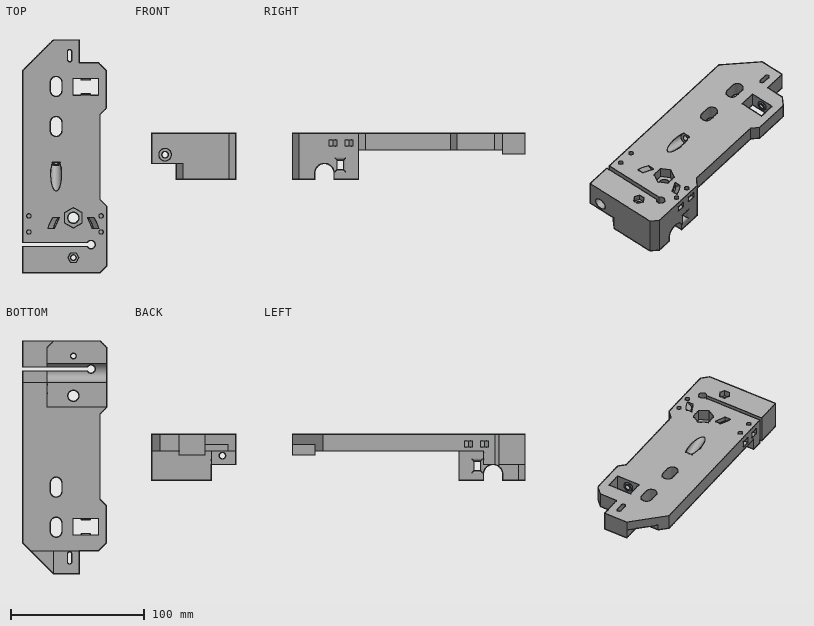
import cadquery as cq
import math

LENGTH = 174.0
WIDTH = 63.0
HEIGHT = 34.5

PLATE_THICKNESS = 12.5
REAR_SLOPE = 23.0
TAB_RIGHT = 42.5
TAB_LENGTH = 17.0
SHOULDER_CHAMFER = 6.0
REAR_RIGHT = 62.6
WAIST_STEP = 5.0
WAIST_FRONT = 54.6
WAIST_REAR = 118.3
CORNER_CHAMFER = 5.0

BRIDGE_THICKNESS = 22.6
BRIDGE_REAR = 31.1
BLOCK_LEFT = 18.3
BLOCK_REAR = 49.6
ARCH_FRONT = 16.9
ARCH_RADIUS = (BRIDGE_REAR - ARCH_FRONT) / 2

FOOT_TOP_DEPTH = 7.8
FOOT_BOTTOM_DEPTH = 15.7

SLIT_Y = 21.0
SLIT_WIDTH = 2.8
SLIT_END_X = 51.2
SLIT_END_DIAMETER = 6.1

CLAMP_X = 10.1
CLAMP_Z = 18.5
CLAMP_DIAMETER = 4.7
CLAMP_HEAD_DIAMETER = 9.4
CLAMP_HEAD_DEPTH = 10.0

BOLT_X = 38.0
MAIN_BOLT_Y = 41.0
MAIN_BOLT_DIAMETER = 8.2
MAIN_HEX_FLATS = 13.2
MAIN_HEX_DEPTH = 9.0
SMALL_BOLT_Y = 11.3
SMALL_BOLT_DIAMETER = 4.0
SMALL_HEX_FLATS = 7.1
SMALL_HEX_DEPTH = 5.0

SCREW_XS = (4.7, 58.6)
SCREW_YS = (30.5, 42.5)
SCREW_DIAMETER = 3.3
SCREW_DEPTH = 11.1
NUT_FLATS = 6.0
NUT_HEIGHT = 4.7
NUT_TOP_DEPTH = 4.9

LONG_SLOT_X = 25.0
LONG_SLOT_YS = (109.3, 139.2)
LONG_SLOT_LENGTH = 14.8
LONG_SLOT_WIDTH = 8.5
TAB_SLOT_X = 35.1
TAB_SLOT_Y = 162.2
TAB_SLOT_LENGTH = 9.0
TAB_SLOT_WIDTH = 3.1

WINDOW_X = 47.2
WINDOW_Y = 138.9
WINDOW_WIDTH = 18.8
WINDOW_LENGTH = 12.2
BOSS_BASE_DIAMETER = 7.7
BOSS_TIP_DIAMETER = 6.6
BOSS_HEIGHT = 1.0
SHAFT_DIAMETER = 4.0
SHAFT_DEPTH = 7.0
SHAFT_Z = HEIGHT - PLATE_THICKNESS / 2

INCLINED_ANGLE = 20.0
INCLINED_Y = 73.0
INCLINED_HEAD_DIAMETER = 8.2
INCLINED_HEAD_DEPTH = 9.0
INCLINED_DIAMETER = 4.0

FLARE_Y = 35.8
FLARE_Z = 10.8
FLARE_THROAT_WIDTH = 4.5
FLARE_THROAT_HEIGHT = 7.0
FLARE_RADIUS = 2.1

TIE_FRONT = 33.2
TIE_REAR = 41.2
TIE_FRONT_INNER = 14.1
TIE_REAR_INNER = 10.5
TIE_MIDDLE_OUTER = 17.5
TIE_WIDTH = 4.9
TIE_FLOOR_WIDTH = 0.9
TIE_DEPTH = 3.5


def box(x0, x1, y0, y1, z0, z1):
    return cq.Workplane("XY").box(x1 - x0, y1 - y0, z1 - z0, centered=False).translate((x0, y0, z0))


def cylinder(start, direction, diameter, length):
    return cq.Workplane(cq.Solid.makeCylinder(
        diameter / 2, length, cq.Vector(*start), cq.Vector(*direction)))


def hexagon(x, y, flats, z_top, height, corner_angle):
    """Vertical hexagonal prism with one corner at the given angle from +X."""
    prism = cq.Workplane("XY").polygon(6, flats / math.cos(math.pi / 6)).extrude(height)
    return prism.rotate((0, 0, 0), (0, 0, 1), corner_angle).translate((x, y, z_top - height))


def plan_prism():
    """Full-height prism on the outline of the part."""
    waist_x = WIDTH - WAIST_STEP
    shoulder_y = LENGTH - TAB_LENGTH
    points = [
        (0, 0),
        (WIDTH - CORNER_CHAMFER, 0),
        (WIDTH, CORNER_CHAMFER),
        (WIDTH, WAIST_FRONT - WAIST_STEP),
        (waist_x, WAIST_FRONT),
        (waist_x, WAIST_REAR),
        (REAR_RIGHT, WAIST_REAR + REAR_RIGHT - waist_x),
        (REAR_RIGHT, shoulder_y - SHOULDER_CHAMFER),
        (REAR_RIGHT - SHOULDER_CHAMFER, shoulder_y),
        (TAB_RIGHT, shoulder_y),
        (TAB_RIGHT, LENGTH),
        (REAR_SLOPE, LENGTH),
        (0, LENGTH - REAR_SLOPE),
    ]
    return cq.Workplane("XY").polyline(points).close().extrude(HEIGHT)


def side_profile_cut():
    """Material removed below the plate, the bridge and the rear foot."""
    plate_bottom = HEIGHT - PLATE_THICKNESS
    bridge_bottom = HEIGHT - BRIDGE_THICKNESS
    foot_front = LENGTH - TAB_LENGTH
    cut = box(0, WIDTH, BLOCK_REAR, foot_front, 0, plate_bottom)
    cut = cut.union(box(0, WIDTH, foot_front, LENGTH, 0, HEIGHT - FOOT_BOTTOM_DEPTH))
    cut = cut.union(box(0, REAR_SLOPE, foot_front, LENGTH, 0, HEIGHT - FOOT_TOP_DEPTH))
    cut = cut.union(box(0, BLOCK_LEFT, BRIDGE_REAR, BLOCK_REAR, 0, plate_bottom))
    return cut.union(box(0, BLOCK_LEFT, 0, BRIDGE_REAR, 0, bridge_bottom))


def block_corner_cut():
    corner = [
        (BLOCK_LEFT, 0),
        (BLOCK_LEFT + CORNER_CHAMFER, 0),
        (BLOCK_LEFT, CORNER_CHAMFER),
    ]
    return cq.Workplane("XY").polyline(corner).close().extrude(HEIGHT - BRIDGE_THICKNESS)


def arch_cut():
    """Round-topped channel along X between the two front blocks."""
    crown = HEIGHT - BRIDGE_THICKNESS
    spring = crown - ARCH_RADIUS
    return (
        cq.Workplane("YZ")
        .moveTo(ARCH_FRONT, 0)
        .lineTo(ARCH_FRONT, spring)
        .threePointArc((ARCH_FRONT + ARCH_RADIUS, crown), (BRIDGE_REAR, spring))
        .lineTo(BRIDGE_REAR, 0)
        .close()
        .extrude(WIDTH)
    )


def slit_cut():
    slit = box(0, SLIT_END_X, SLIT_Y - SLIT_WIDTH / 2, SLIT_Y + SLIT_WIDTH / 2, 0, HEIGHT)
    return slit.union(cylinder((SLIT_END_X, SLIT_Y, 0), (0, 0, 1), SLIT_END_DIAMETER, HEIGHT))


def clamp_screw_cut():
    start = (CLAMP_X, 0, CLAMP_Z)
    head = cylinder(start, (0, 1, 0), CLAMP_HEAD_DIAMETER, CLAMP_HEAD_DEPTH)
    return head.union(cylinder(start, (0, 1, 0), CLAMP_DIAMETER, BRIDGE_REAR))


def bolt_cut(y, diameter, flats, depth, corner_angle):
    nut = hexagon(BOLT_X, y, flats, HEIGHT, depth, corner_angle)
    return nut.union(cylinder((BOLT_X, y, 0), (0, 0, 1), diameter, HEIGHT))


def corner_screw_cut(x, y):
    """Blind screw hole through a nut pocket that opens at the nearer side."""
    nut_top = HEIGHT - NUT_TOP_DEPTH
    nut_bottom = nut_top - NUT_HEIGHT
    side = 0 if x < WIDTH / 2 else WIDTH
    cut = hexagon(x, y, NUT_FLATS, nut_top, NUT_HEIGHT, 0)
    entry = box(min(x, side), max(x, side), y - NUT_FLATS / 2, y + NUT_FLATS / 2, nut_bottom, nut_top)
    cut = cut.union(entry)
    return cut.union(cylinder((x, y, HEIGHT), (0, 0, -1), SCREW_DIAMETER, SCREW_DEPTH))


def slot_cut(x, y, length, width):
    return cq.Workplane("XY").center(x, y).slot2D(length, width, 90).extrude(HEIGHT)


def window_cut():
    """Rectangular window, less the two conical bosses, plus the shaft bore."""
    front = WINDOW_Y - WINDOW_LENGTH / 2
    rear = WINDOW_Y + WINDOW_LENGTH / 2
    left = WINDOW_X - WINDOW_WIDTH / 2
    cut = box(left, left + WINDOW_WIDTH, front, rear, 0, HEIGHT)
    for wall, inward in ((front, 1), (rear, -1)):
        boss = cq.Solid.makeCone(
            BOSS_BASE_DIAMETER / 2, BOSS_TIP_DIAMETER / 2, BOSS_HEIGHT,
            cq.Vector(WINDOW_X, wall, SHAFT_Z), cq.Vector(0, inward, 0))
        cut = cut.cut(cq.Workplane(boss))
    bore_length = WINDOW_LENGTH + 2 * SHAFT_DEPTH
    bore_start = (WINDOW_X, front - SHAFT_DEPTH, SHAFT_Z)
    return cut.union(cylinder(bore_start, (0, 1, 0), SHAFT_DIAMETER, bore_length))


def inclined_screw_cut():
    """Counterbored screw hole that sinks from the top face into the front long slot."""
    run = math.cos(math.radians(INCLINED_ANGLE))
    drop = math.sin(math.radians(INCLINED_ANGLE))
    direction = (0, run, -drop)
    above = 2 * INCLINED_HEAD_DIAMETER / math.tan(math.radians(INCLINED_ANGLE))
    start = (LONG_SLOT_X, INCLINED_Y - above * run, HEIGHT + above * drop)
    entry = (LONG_SLOT_X, INCLINED_Y, HEIGHT)
    hole_length = (LONG_SLOT_YS[0] - INCLINED_Y) / run
    head = cylinder(start, direction, INCLINED_HEAD_DIAMETER, above + INCLINED_HEAD_DEPTH)
    return head.union(cylinder(entry, direction, INCLINED_DIAMETER, hole_length))


def add_flared_opening(body):
    """Cut a rectangular passage along X and round over the rims of both mouths."""
    half_width = FLARE_THROAT_WIDTH / 2 + FLARE_RADIUS
    half_height = FLARE_THROAT_HEIGHT / 2 + FLARE_RADIUS
    passage = (
        cq.Workplane("YZ", origin=(BLOCK_LEFT, FLARE_Y, FLARE_Z))
        .rect(FLARE_THROAT_WIDTH, FLARE_THROAT_HEIGHT)
        .extrude(WIDTH - BLOCK_LEFT)
    )
    body = body.cut(passage)
    for mouth_x in (BLOCK_LEFT, WIDTH):
        rim = cq.selectors.BoxSelector(
            (mouth_x - FLARE_RADIUS, FLARE_Y - half_width, FLARE_Z - half_height),
            (mouth_x + FLARE_RADIUS, FLARE_Y + half_width, FLARE_Z + half_height))
        body = body.edges(rim).fillet(FLARE_RADIUS)
    return body


def tie_pocket_cut(side):
    """Pocket with a bowed outer wall that slopes in to a narrow floor along the upright inner wall."""
    def outline(workplane, front_outer, middle_outer, rear_outer):
        def at(offset, y):
            return (BOLT_X + side * offset, y)

        return (
            workplane
            .moveTo(*at(TIE_FRONT_INNER, TIE_FRONT))
            .lineTo(*at(front_outer, TIE_FRONT))
            .threePointArc(at(middle_outer, (TIE_FRONT + TIE_REAR) / 2), at(rear_outer, TIE_REAR))
            .lineTo(*at(TIE_REAR_INNER, TIE_REAR))
            .close()
        )

    top = outline(
        cq.Workplane("XY").workplane(offset=HEIGHT),
        TIE_FRONT_INNER + TIE_WIDTH,
        TIE_MIDDLE_OUTER,
        TIE_REAR_INNER + TIE_WIDTH)
    narrowing = TIE_WIDTH - TIE_FLOOR_WIDTH
    floor = outline(
        top.workplane(offset=-TIE_DEPTH),
        TIE_FRONT_INNER + TIE_FLOOR_WIDTH,
        TIE_MIDDLE_OUTER - narrowing,
        TIE_REAR_INNER + TIE_FLOOR_WIDTH)
    return floor.loft(ruled=True)


result = plan_prism()
result = result.cut(side_profile_cut())
result = result.cut(block_corner_cut())
result = result.cut(arch_cut())
result = result.cut(slit_cut())
result = result.cut(clamp_screw_cut())
result = result.cut(bolt_cut(MAIN_BOLT_Y, MAIN_BOLT_DIAMETER, MAIN_HEX_FLATS, MAIN_HEX_DEPTH, 90))
result = result.cut(bolt_cut(SMALL_BOLT_Y, SMALL_BOLT_DIAMETER, SMALL_HEX_FLATS, SMALL_HEX_DEPTH, 0))
for screw_x in SCREW_XS:
    for screw_y in SCREW_YS:
        result = result.cut(corner_screw_cut(screw_x, screw_y))
for slot_y in LONG_SLOT_YS:
    result = result.cut(slot_cut(LONG_SLOT_X, slot_y, LONG_SLOT_LENGTH, LONG_SLOT_WIDTH))
result = result.cut(slot_cut(TAB_SLOT_X, TAB_SLOT_Y, TAB_SLOT_LENGTH, TAB_SLOT_WIDTH))
result = result.cut(window_cut())
result = result.cut(inclined_screw_cut())
result = add_flared_opening(result)
for pocket_side in (-1, 1):
    result = result.cut(tie_pocket_cut(pocket_side))